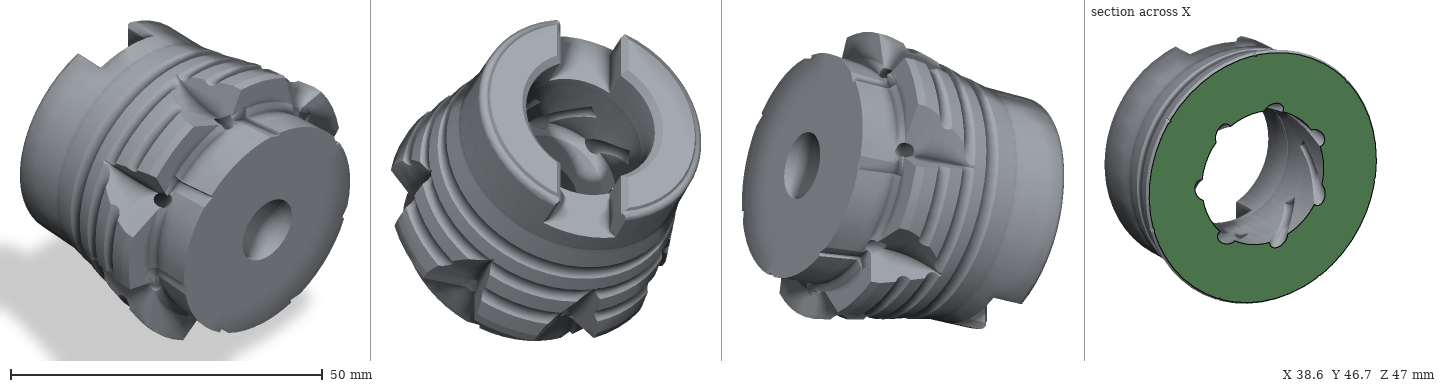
import cadquery as cq
import math


length = 38.55
flutes = 7
pitch = 360 / flutes

face_radius = 17.45
face_step_radius = 17.75
face_step = 0.45
corner_radius = 1.0
body_radius = 38.0 / 2
neck_end = 9.95
neck_radius = 19.15

lands = [
    (16.5, 20.47, 18.9, 21.1),
    (21.4, 21.7, 24.0, 22.3),
]
first_land_end = (13.8, 19.95)
groove_depth = 0.45
last_land_start = (26.63, 22.9)
tip_start = 29.4
tip_radius = 47.0 / 2
lug_end = 31.05
lug_root_radius = 19.25

pilot_start = 31.75
pilot_root_radius = 17.95
pilot_end_radius = 18.45

bore_radius = 22.0 / 2
relief_radius = 22.15 / 2
relief_start = 7.4
bore_depth = 19.5
bore_chamfer = 1.05
through_radius = 11.0 / 2
sink_radius = 17.1 / 2

slot_width = 10.4
slot_depth = 6.3
slot_chamfer = 0.9

gullet_roll = 25.5
gullet_tilt = 5.4
gullet_tangent_x = 28.97
gullet_floor = 15.55
gullet_floor_radius = 21.15
gullet_top = 28.18
rake_offset = 9.15
gullet_reach = 28.18

step_floor = 17.5
step_wall = -1.93
step_height = 2.35
step_width = 3.75
step_tilt = 5.4
step_edge = -3.35
step_roll = 9.0

coolant_diameter = 2.5
coolant_inlet = (bore_depth, relief_radius, 50.0)
coolant_outlet = (30.3, 18.15, 83.5)
coolant_overrun_in = 0.65
coolant_overrun_out = 0.1


def groove(profile, end):
    """Continue the outline through a concave groove to the start of the next land."""
    start = profile.val().endPoint()
    middle = ((start.x + end[0]) / 2, start.y - groove_depth)
    return profile.threePointArc(middle, end)


def turned_body():
    corner_end = face_step + corner_radius
    diagonal = corner_radius * (1 - math.sqrt(0.5))
    profile = (
        cq.Workplane("XY")
        .lineTo(0, face_radius)
        .lineTo(face_step, face_step_radius)
        .lineTo(face_step, body_radius - corner_radius)
        .threePointArc((face_step + diagonal, body_radius - diagonal), (corner_end, body_radius))
        .lineTo(neck_end, neck_radius)
        .lineTo(*first_land_end)
    )
    for start_x, start_radius, end_x, end_radius in lands:
        profile = groove(profile, (start_x, start_radius)).lineTo(end_x, end_radius)
    profile = (
        groove(profile, last_land_start)
        .lineTo(tip_start, tip_radius)
        .lineTo(lug_end, tip_radius)
        .lineTo(lug_end, lug_root_radius)
        .lineTo(pilot_start, pilot_root_radius)
        .lineTo(length, pilot_end_radius)
        .lineTo(length, 0)
        .close()
    )
    return profile.revolve(360, (0, 0, 0), (1, 0, 0))


def bore():
    sink_end = bore_depth + sink_radius - through_radius
    return (
        cq.Workplane("XY")
        .lineTo(0, bore_radius + bore_chamfer)
        .lineTo(bore_chamfer, bore_radius)
        .lineTo(relief_start, bore_radius)
        .lineTo(relief_start, relief_radius)
        .lineTo(bore_depth, relief_radius)
        .lineTo(bore_depth, sink_radius)
        .lineTo(sink_end, through_radius)
        .lineTo(length, through_radius)
        .lineTo(length, 0)
        .close()
        .revolve(360, (0, 0, 0), (1, 0, 0))
    )


def driving_slot():
    half = slot_width / 2
    wide = half + slot_chamfer
    tall = 3 * body_radius
    slot = cq.Workplane("XY").box(slot_depth, slot_width, tall, centered=(False, True, True))
    face_chamfer = (
        cq.Workplane("XY")
        .polyline([(0, -wide), (slot_chamfer, -half), (slot_chamfer, half), (0, wide)])
        .close()
        .extrude(tall, both=True)
    )
    flare_z = math.sqrt(body_radius**2 - wide**2)
    flare = (
        cq.Workplane("YZ")
        .polyline([
            (-half, flare_z - slot_chamfer),
            (half, flare_z - slot_chamfer),
            (wide + slot_chamfer, flare_z + slot_chamfer),
            (-wide - slot_chamfer, flare_z + slot_chamfer),
        ])
        .close()
        .extrude(slot_depth)
    )
    return slot.union(face_chamfer).union(flare).union(flare.mirror("XY"))


def gullet():
    center_z = gullet_floor + gullet_floor_radius
    back_x = gullet_tangent_x - math.sqrt(gullet_floor_radius**2 - (center_z - gullet_top)**2)
    half_turn = math.acos((center_z - gullet_top) / gullet_floor_radius) / 2
    arc_middle = (
        gullet_tangent_x - gullet_floor_radius * math.sin(half_turn),
        center_z - gullet_floor_radius * math.cos(half_turn),
    )
    return (
        cq.Workplane("XZ", origin=(0, -rake_offset, 0))
        .moveTo(back_x, gullet_top)
        .threePointArc(arc_middle, (gullet_tangent_x, gullet_floor))
        .lineTo(pilot_start, gullet_floor)
        .lineTo(pilot_start, gullet_top)
        .close()
        .extrude(gullet_reach)
        .rotate((gullet_tangent_x, -rake_offset, 0), (gullet_tangent_x, -rake_offset, 1), gullet_tilt)
        .rotate((0, 0, 0), (1, 0, 0), gullet_roll)
    )


def pilot_step():
    run = length - pilot_start
    cone_angle = math.degrees(math.atan2(pilot_end_radius - pilot_root_radius, run))
    corner = (pilot_start, -step_floor, step_wall)
    edge = (pilot_start, -step_floor, step_edge)
    return (
        cq.Workplane("XY")
        .box(2 * run, step_height, step_width, centered=False)
        .translate((lug_end, -step_floor - step_height, step_wall - step_width))
        .rotate(edge, (pilot_start + 0.45, -step_floor, step_edge), -step_roll)
        .rotate(corner, (pilot_start, -step_floor, step_wall + 0.45), -cone_angle)
        .rotate(corner, (pilot_start, -step_floor + 0.45, step_wall), -step_tilt)
    )


def polar_point(x, radius, angle):
    """Point at an angle measured from -Y toward +Z."""
    turn = math.radians(angle)
    return cq.Vector(x, -radius * math.cos(turn), radius * math.sin(turn))


def coolant_hole():
    inlet = polar_point(*coolant_inlet)
    outlet = polar_point(*coolant_outlet)
    axis = outlet - inlet
    start = inlet - axis * coolant_overrun_in
    reach = axis.Length * (1 + coolant_overrun_in + coolant_overrun_out)
    return cq.Workplane(cq.Solid.makeCylinder(coolant_diameter / 2, reach, start, axis))


result = turned_body().cut(bore()).cut(driving_slot())
for cutter in (gullet(), pilot_step(), coolant_hole()):
    for i in range(flutes):
        result = result.cut(cutter.rotate((0, 0, 0), (1, 0, 0), i * pitch))